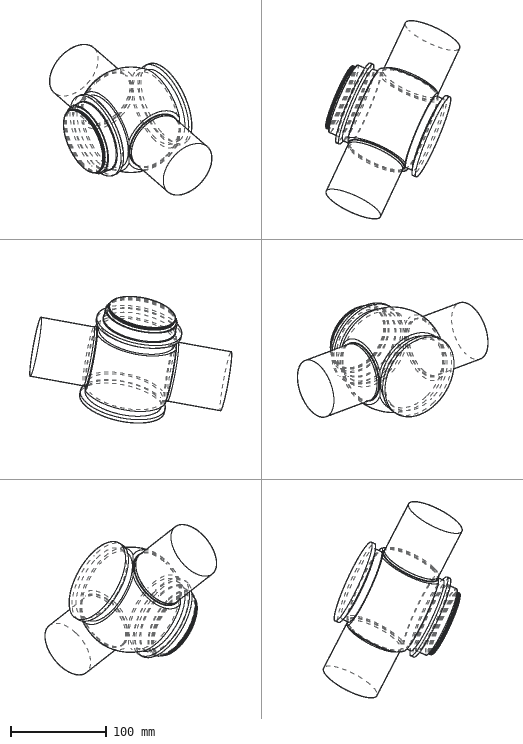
import cadquery as cq

ball_radius = 55.58
body_half_x = 42.2
body_half_y = 32.8

pipe_length = 204
pipe_radius = 31.6
collar_radius = 31.8
collar_end_x = 45.0
inner_collar_radius = 32.2
inner_collar_end_x = 42.8

neck_radius = 41.0
flange_radius = 45.7
front_bevel_start_y = 40.0
back_bevel_start_y = 40.5
rim_start_y = 42.2
front_flange_face_y = 45.7
back_flange_face_y = 46.3

plug_radius = 38.5
plug_base_radius = 39.2
plug_base_height = 1.0
plug_end_y = 56.7
plug_tip_y = 61.8

cone_radius = 37.1
groove_radius = 35.3
groove_start_y = 58.5
groove_end_y = 59.4
lip_radius = 35.9
lip_start_y = 60.2
lip_chamfer = 0.6


def rod(axis_plane, radius, half_length):
    """Cylinder centred on the origin, along the normal of the plane."""
    return cq.Workplane(axis_plane).circle(radius).extrude(half_length, both=True)


def make_body():
    """Sphere trimmed to flats in X and Y."""
    trim = cq.Workplane("XY").box(2 * body_half_x, 2 * body_half_y, 2 * ball_radius)
    return cq.Workplane("XY").sphere(ball_radius).intersect(trim)


def make_pipe():
    """Pipe through the body, with its collars on both sides."""
    pipe = rod("YZ", pipe_radius, pipe_length / 2)
    collar = rod("YZ", collar_radius, collar_end_x)
    inner_collar = rod("YZ", inner_collar_radius, inner_collar_end_x)
    return pipe.union(collar).union(inner_collar)


def make_front_spindle(profile):
    """Turn an outline of (radius, distance towards the front) points about Y."""
    points = [(radius, -distance) for radius, distance in profile]
    return cq.Workplane("XY").polyline(points).close().revolve(360, (0, 0, 0), (0, 1, 0))


def make_neck(bevel_start_y, face_y):
    """Neck facing the front with its flange, bevelled on the body side."""
    return make_front_spindle([
        (0, 0),
        (neck_radius, 0),
        (neck_radius, bevel_start_y),
        (flange_radius, rim_start_y),
        (flange_radius, face_y),
        (0, face_y),
    ])


def make_plug():
    """Plug with a tapered base, and a groove behind its chamfered end lip."""
    return make_front_spindle([
        (0, 0),
        (plug_base_radius, 0),
        (plug_base_radius, front_flange_face_y),
        (plug_radius, front_flange_face_y + plug_base_height),
        (plug_radius, plug_end_y),
        (cone_radius, plug_end_y),
        (groove_radius, groove_start_y),
        (groove_radius, groove_end_y),
        (lip_radius, lip_start_y),
        (lip_radius, plug_tip_y - lip_chamfer),
        (lip_radius - lip_chamfer, plug_tip_y),
        (0, plug_tip_y),
    ])


front_neck = make_neck(front_bevel_start_y, front_flange_face_y)
back_neck = make_neck(back_bevel_start_y, back_flange_face_y).mirror("XZ")

result = make_body().union(make_pipe()).union(front_neck).union(back_neck).union(make_plug())